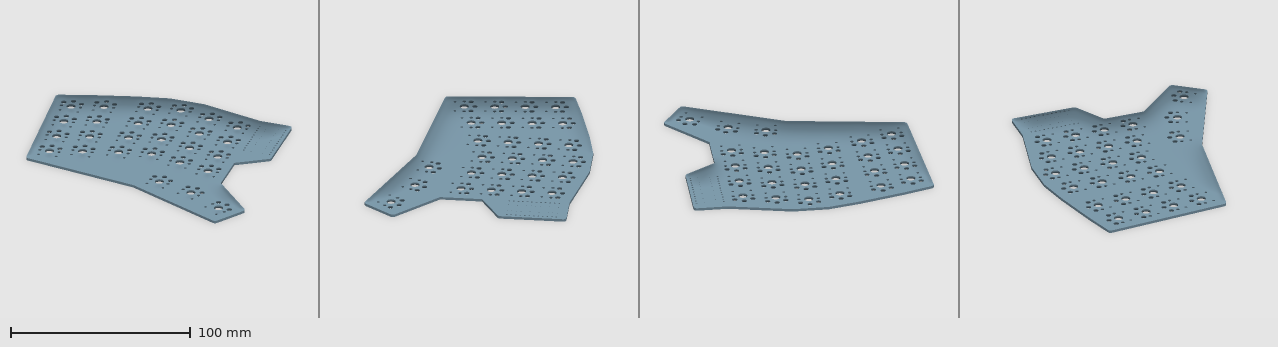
import cadquery as cq
import math


plate_thickness = 1.5
corner_radius = 2.0

top_y = 60.6
controller_top_y = 52.9
right_x = 65.8
waist_x = 48.0

outline = [
    (-70.2, 44.3, True),
    (-52.3, 49.9, False),
    (-26.9, 56.8, False),
    (-9.0, top_y, False),
    (11.2, top_y, False),
    (46.8, controller_top_y, False),
    (right_x, controller_top_y, True),
    (right_x, 14.9, True),
    (waist_x, 4.0, False),
    (waist_x, -19.5, False),
    (70.7, -43.7, True),
    (58.5, -61.1, True),
    (2.5, -37.3, False),
    (-64.0, -27.5, True),
]

stem_diameter = 5.0
contact_diameter = 3.0
side_pin_diameter = 2.0
lower_pin_diameter = 1.5

top_contact_y = 5.9
outer_contact_x = 5.0
outer_contact_y = 3.8
side_pin_x = 5.5
lower_pin_x = 5.0
lower_pin_y = -5.2

switch_holes = [
    (0, 0, stem_diameter),
    (0, top_contact_y, contact_diameter),
]
for side in (-1, 1):
    switch_holes += [
        (side * outer_contact_x, outer_contact_y, contact_diameter),
        (side * side_pin_x, 0, side_pin_diameter),
        (side * lower_pin_x, lower_pin_y, lower_pin_diameter),
    ]

keys_per_column = 4
key_pitch = 17.0
column_pitch = 18.0
column_stagger = 4.0
column_splay = 5

upright_columns = (-1, 0, 1, 2)
tallest_column = (1.0, 24.7)
splayed_column = (-38.5, 14.9)

thumb_keys = [
    (15.0, -28.9, -10),
    (35.5, -34.8, -20),
    (55.5, -46.1, -35),
]

controller_x = 56.0
controller_y = 33.2
controller_rows = 12
controller_length = 27.9
pad_diameter = 1.0
pad_row_spacing = 15.3
via_diameter = 0.4
via_row_spacing = 6.6


def local_point(origin, tilt, x, y):
    """Point (x, y) of a frame at origin, turned by tilt degrees."""
    angle = math.radians(tilt)
    return (
        origin[0] + x * math.cos(angle) - y * math.sin(angle),
        origin[1] + x * math.sin(angle) + y * math.cos(angle),
    )


def column_keys(centre, tilt):
    """Switch positions of one column, spaced evenly about its centre."""
    middle = (keys_per_column - 1) / 2
    offsets = [(i - middle) * key_pitch for i in range(keys_per_column)]
    return [(*local_point(centre, tilt, 0, offset), tilt) for offset in offsets]


def all_keys():
    """Position and tilt of every switch on the plate."""
    keys = list(thumb_keys)
    for step in upright_columns:
        x = tallest_column[0] + step * column_pitch
        y = tallest_column[1] - abs(step) * column_stagger
        keys += column_keys((x, y), 0)
    outer_column = local_point(splayed_column, column_splay, -column_pitch, -column_stagger)
    for centre in (splayed_column, outer_column):
        keys += column_keys(centre, column_splay)
    return keys


def switch_drillings():
    """Holes of every switch, as a list of points for each diameter."""
    drillings = {}
    for x, y, tilt in all_keys():
        for hole_x, hole_y, diameter in switch_holes:
            point = local_point((x, y), tilt, hole_x, hole_y)
            drillings.setdefault(diameter, []).append(point)
    return drillings


def controller_drillings():
    """Two outer rows of pads and two inner rows of vias."""
    row_pitch = controller_length / (controller_rows - 1)
    drillings = {}
    for diameter, spacing in ((pad_diameter, pad_row_spacing), (via_diameter, via_row_spacing)):
        drillings[diameter] = [
            (controller_x + side * spacing / 2, controller_y - controller_length / 2 + i * row_pitch)
            for side in (-1, 1)
            for i in range(controller_rows)
        ]
    return drillings


def plate_blank():
    """Undrilled plate with its rounded corners."""
    blank = cq.Workplane("XY").polyline([(x, y) for x, y, _ in outline]).close().extrude(plate_thickness)
    for x, y, rounded in outline:
        if rounded:
            corner = cq.selectors.NearestToPointSelector((x, y, plate_thickness / 2))
            blank = blank.edges("|Z").edges(corner).fillet(corner_radius)
    return blank


def drill(body, drillings):
    """Through holes at the points listed for each diameter."""
    for diameter, points in drillings.items():
        body = body.faces(">Z").workplane(origin=(0, 0, 0)).pushPoints(points).hole(diameter)
    return body


result = drill(plate_blank(), switch_drillings())
result = drill(result, controller_drillings())